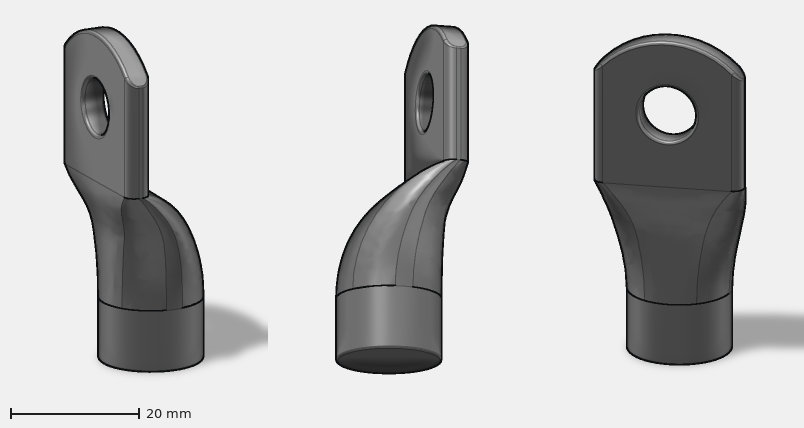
import cadquery as cq
import math

barrel_diameter = 16.5
barrel_height = 10.0
barrel_edge_radius = 0.3

palm_width = 23.8
palm_thickness = 4.0
palm_base_z = 30.0
palm_front_offset = 1.5
palm_side_radius = 1.65
palm_top_radius = 15.0
palm_edge_radius = 0.5
total_height = 54.0

hole_diameter = 9.0
hole_z = 42.0
hole_edge_radius = 0.5

section_count = 11
front_bend_start_z = 22.0
front_bend_end_z = 29.0
side_end_slope = 0.5
squaring_power = 4.0
side_arc_angle = 10.0
corner_arc_angle = 60.0

barrel_radius = barrel_diameter / 2
palm_half_width = palm_width / 2
palm_front_y = -barrel_radius - palm_front_offset
palm_back_y = palm_front_y + palm_thickness
neck_height = palm_base_z - barrel_height


def make_barrel():
    barrel = cq.Workplane("XY").circle(barrel_radius).extrude(barrel_height)
    return barrel.faces("<Z").edges().fillet(barrel_edge_radius)


def make_palm():
    top_center_z = total_height - palm_top_radius
    shoulder_z = top_center_z + math.sqrt(palm_top_radius**2 - palm_half_width**2)
    plate = (
        cq.Workplane("XZ", origin=(0, palm_back_y, 0))
        .moveTo(-palm_half_width, palm_base_z)
        .lineTo(palm_half_width, palm_base_z)
        .lineTo(palm_half_width, shoulder_z)
        .threePointArc((0, total_height), (-palm_half_width, shoulder_z))
        .close()
        .extrude(palm_thickness)
    )
    plate = plate.edges("|Z").fillet(palm_side_radius)
    plate = plate.faces(">Z").edges().fillet(palm_edge_radius)
    hole = (
        cq.Workplane("XZ", origin=(0, palm_back_y, hole_z))
        .circle(hole_diameter / 2)
        .extrude(palm_thickness)
    )
    plate = plate.cut(hole)
    rim_reach = hole_diameter / 2 + hole_edge_radius
    rim_box = cq.selectors.BoxSelector(
        (-rim_reach, palm_front_y - rim_reach, hole_z - rim_reach),
        (rim_reach, palm_back_y + rim_reach, hole_z + rim_reach),
    )
    return plate.edges("%CIRCLE").edges(rim_box).fillet(hole_edge_radius)


def smooth_step(t):
    t = min(max(t, 0.0), 1.0)
    return t * t * (3 - 2 * t)


def neck_back_y(z):
    """Arc that leaves the barrel vertically and ends at the palm's back face."""
    drop = barrel_radius - palm_back_y
    arc_radius = (neck_height**2 + drop**2) / (2 * drop)
    return barrel_radius - arc_radius + math.sqrt(arc_radius**2 - (z - barrel_height) ** 2)


def neck_front_y(z):
    bend = (z - front_bend_start_z) / (front_bend_end_z - front_bend_start_z)
    return -barrel_radius - palm_front_offset * smooth_step(bend)


def neck_half_width(z):
    t = (z - barrel_height) / neck_height
    flare = smooth_step(t) - side_end_slope * t * t * (1 - t)
    return barrel_radius + (palm_half_width - barrel_radius) * flare


def arc_poles(center, radii, start_angle, end_angle):
    """Poles of the cubic Bezier that follows an ellipse arc (angles in degrees)."""
    start = math.radians(start_angle)
    end = math.radians(end_angle)
    handle = 4 / 3 * math.tan((end - start) / 4)
    unit_poles = [
        (math.cos(start), math.sin(start)),
        (math.cos(start) - handle * math.sin(start), math.sin(start) + handle * math.cos(start)),
        (math.cos(end) + handle * math.sin(end), math.sin(end) - handle * math.cos(end)),
        (math.cos(end), math.sin(end)),
    ]
    return [(center[0] + radii[0] * x, center[1] + radii[1] * y) for x, y in unit_poles]


def line_poles(start, end):
    """Poles of the cubic Bezier that follows a straight line."""
    return [
        tuple(a + (b - a) * step / 3 for a, b in zip(start, end))
        for step in range(4)
    ]


def unit_circle_segments():
    """Unit circle as side, corner and face arcs, counter-clockwise from the +X side."""
    side = side_arc_angle
    corner = corner_arc_angle
    angles = [-side, side, corner]
    angles += [180 - corner, 180 - side, 180 + side]
    angles += [180 + corner, 360 - corner, 360 - side]
    return [arc_poles((0, 0), (1, 1), a, b) for a, b in zip(angles, angles[1:])]


def unit_palm_segments():
    """Palm cross-section scaled to half sizes of 1, split like the unit circle."""
    radii = (palm_side_radius / palm_half_width, palm_side_radius / (palm_thickness / 2))
    flat_x = 1 - radii[0]
    flat_y = 1 - radii[1]
    corner_centers = [(flat_x, flat_y), (-flat_x, flat_y), (-flat_x, -flat_y), (flat_x, -flat_y)]
    corners = [
        arc_poles(center, radii, 90 * i, 90 * (i + 1))
        for i, center in enumerate(corner_centers)
    ]
    segments = []
    for i, corner in enumerate(corners):
        segments.append(line_poles(corners[i - 1][-1], corner[0]))
        segments.append(corner)
    return segments


def neck_section(z):
    squareness = ((z - barrel_height) / neck_height) ** squaring_power
    half_width = neck_half_width(z)
    half_depth = (neck_back_y(z) - neck_front_y(z)) / 2
    center_y = (neck_back_y(z) + neck_front_y(z)) / 2
    edges = []
    for circle_poles, palm_poles in zip(unit_circle_segments(), unit_palm_segments()):
        poles = []
        for c, p in zip(circle_poles, palm_poles):
            x = c[0] + (p[0] - c[0]) * squareness
            y = c[1] + (p[1] - c[1]) * squareness
            poles.append(cq.Vector(half_width * x, center_y + half_depth * y, z))
        edges.append(cq.Edge.makeBezier(poles))
    return cq.Wire.assembleEdges(edges)


def make_neck():
    step = neck_height / (section_count - 1)
    sections = [neck_section(barrel_height + i * step) for i in range(section_count)]
    return cq.Workplane("XY").newObject([cq.Solid.makeLoft(sections)])


result = make_barrel().union(make_neck()).union(make_palm())